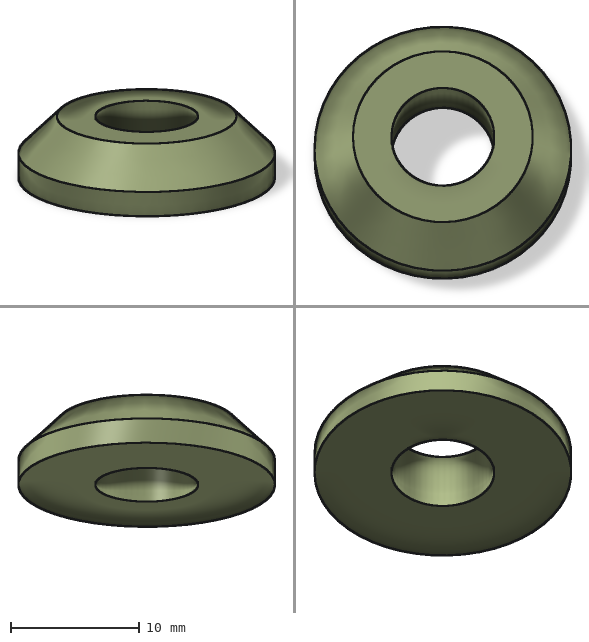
import cadquery as cq

outer_diameter = 20.0
bore_diameter = 8.0
height = 5.0
rim_height = 2.0

bevel = height - rim_height

ring = cq.Workplane("XY").circle(outer_diameter / 2).circle(bore_diameter / 2).extrude(height)

outer_top_edge = cq.selectors.RadiusNthSelector(-1)
result = ring.faces(">Z").edges(outer_top_edge).chamfer(bevel)